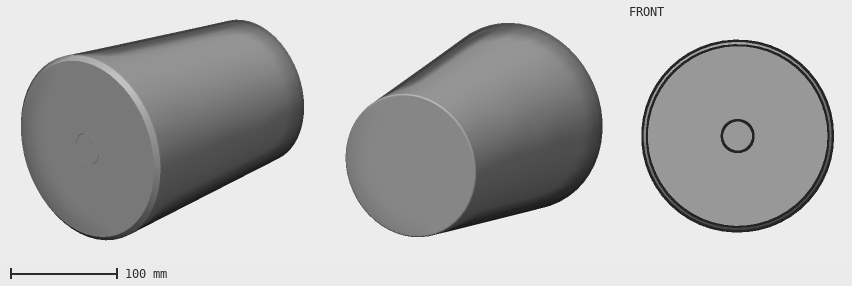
import cadquery as cq

length = 225.0
wide_diameter = 178.9
narrow_diameter = 137.5

front_chamfer = 4.3
front_band_width = 1.5
back_fillet = 1.8

hole_diameter = 30.0
plug_diameter = 29.2
plug_depth = 4.5

front_y = -length / 2
back_y = length / 2


def disc_from_front(diameter, depth):
    """Cylinder of the given depth that starts at the wide face and runs towards +Y."""
    front_plane = cq.Workplane("XZ", origin=(0, front_y, 0))
    return front_plane.circle(diameter / 2).extrude(-depth)


def make_housing():
    """Tapered round body with a chamfered wide end, a rounded narrow end and a plug hole."""
    wide_radius = wide_diameter / 2
    narrow_radius = narrow_diameter / 2
    taper_start_y = front_y + front_chamfer + front_band_width
    profile = (
        cq.Workplane("XY")
        .moveTo(0, front_y)
        .lineTo(wide_radius - front_chamfer, front_y)
        .lineTo(wide_radius, front_y + front_chamfer)
        .lineTo(wide_radius, taper_start_y)
        .lineTo(narrow_radius, back_y)
        .lineTo(0, back_y)
        .close()
    )
    body = profile.revolve(360, (0, 0, 0), (0, 1, 0))
    body = body.faces(">Y").edges().fillet(back_fillet)
    return body.cut(disc_from_front(hole_diameter, plug_depth))


def make_plug():
    """Round plug, flush with the wide face and seated on the floor of the hole."""
    return disc_from_front(plug_diameter, plug_depth)


housing = make_housing()
plug = make_plug()

result = cq.Compound.makeCompound([housing.val(), plug.val()])